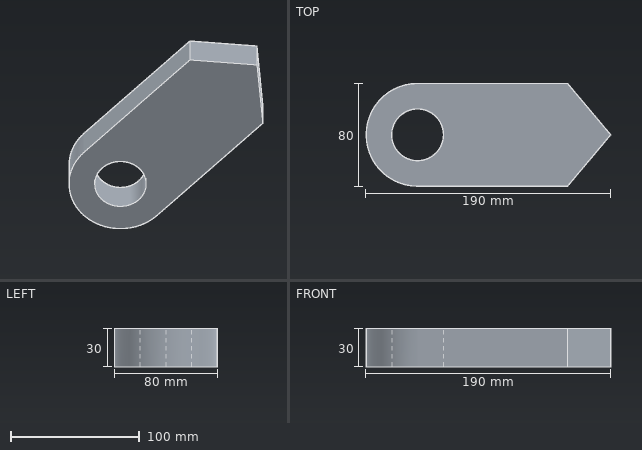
import cadquery as cq

length = 190.0
width = 80.0
thickness = 30.0
point_length = 33.6

end_radius = width / 2
hole_diameter = width / 2
tip_x = length - end_radius
shoulder_x = tip_x - point_length


def plate():
    """Flat bar with a round end at -X and a symmetric point at +X."""
    return (
        cq.Workplane("XY")
        .moveTo(0, end_radius)
        .threePointArc((-end_radius, 0), (0, -end_radius))
        .lineTo(shoulder_x, -end_radius)
        .lineTo(tip_x, 0)
        .lineTo(shoulder_x, end_radius)
        .close()
        .extrude(thickness)
    )


def through_hole():
    """Cylinder that cuts the hole through the full thickness."""
    return cq.Workplane("XY").circle(hole_diameter / 2).extrude(thickness)


result = plate().cut(through_hole())